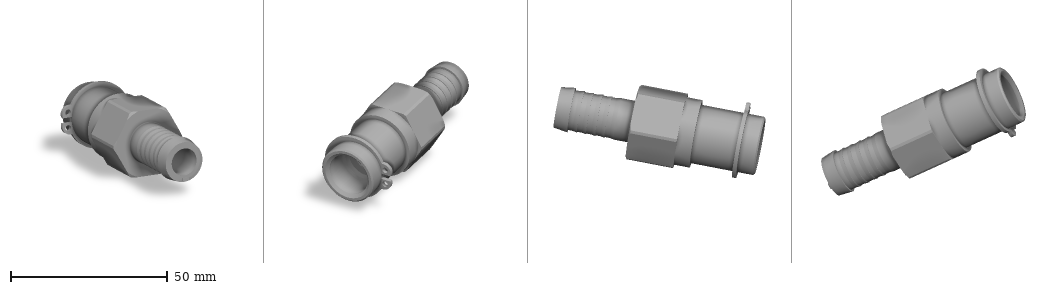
import cadquery as cq
import math

total_length = 66.5
tip_end = 66.1
ring_start = 5.65
ring_thickness = 1.25
collar_start = 20.9
hex_start = 25.95
hex_end = 41.55
first_barb = 46.5
barb_pitch = 3.0
barb_count = 5
barb_taper_length = 1.4
tip_start = 61.5

socket_diameter = 19.0
mouth_diameter = 18.0
collar_diameter = 22.0
hex_across_flats = collar_diameter
hex_corner_diameter = 24.9
hex_chamfer_length = 0.45
hex_chamfer_depth = 0.85
neck_diameter = 13.5
neck_fillet = 0.3
barb_root_diameter = 13.0
tip_large_diameter = 14.5
tip_end_diameter = 13.25

pad_width = 2
pad_height = 1.0
pad_center_y = 0.45
pad_center_z = -5.8

entry_diameter = 16.15
bore_diameter = 14.1
inner_bore_diameter = 12.6
through_diameter = 9.0
bore_end = 9.1
inner_bore_end = 12
cone_half_angle = math.radians(70)

ring_diameter = collar_diameter
groove_diameter = mouth_diameter
ring_turn = 0.9
ring_offset = 0.5
lug_radius = 2.8
lug_tip = 12.85
lug_center_y = lug_radius - lug_tip
lug_center_z = 2
lug_hole_diameter = 2
lug_hole_y = -10.8
lug_hole_z = 2.63
ring_gap = 1.9


def cylinder(start, end, diameter):
    """A cylinder on the X axis."""
    return cq.Workplane("YZ", origin=(start, 0, 0)).circle(diameter / 2).extrude(end - start)


def revolve_profile(points):
    """Turn a closed (x, radius) outline about the X axis."""
    return cq.Workplane("XY").polyline(points).close().revolve(360, (0, 0, 0), (1, 0, 0))


def make_hex():
    """Hexagon with its corners turned down and its hose end chamfered."""
    across_corners = hex_across_flats / math.cos(math.pi / 6)
    hexagon = (
        cq.Workplane("YZ", origin=(hex_start, 0, 0))
        .polygon(6, across_corners)
        .extrude(hex_end - hex_start)
    )
    corner_radius = hex_corner_diameter / 2
    envelope = revolve_profile([
        (hex_start, 0),
        (hex_start, corner_radius),
        (hex_end - hex_chamfer_length, corner_radius),
        (hex_end, corner_radius - hex_chamfer_depth),
        (hex_end, 0),
    ])
    return hexagon.intersect(envelope)


def make_hose_tail():
    """Neck with a filleted root, tapered barbs and an enlarged conical tip."""
    neck_radius = neck_diameter / 2
    root_radius = barb_root_diameter / 2
    fillet_middle = neck_fillet * (1 - math.sqrt(0.5))
    profile = (
        cq.Workplane("XY")
        .moveTo(hex_end, 0)
        .lineTo(hex_end, neck_radius + neck_fillet)
        .threePointArc(
            (hex_end + fillet_middle, neck_radius + fillet_middle),
            (hex_end + neck_fillet, neck_radius),
        )
    )
    for i in range(barb_count):
        barb_start = first_barb + i * barb_pitch
        if i > 0:
            profile = profile.lineTo(barb_start, root_radius)
        profile = profile.lineTo(barb_start, neck_radius)
        profile = profile.lineTo(barb_start + barb_taper_length, root_radius)
    profile = (
        profile.lineTo(tip_start, root_radius)
        .lineTo(tip_start, tip_large_diameter / 2)
        .lineTo(tip_end, tip_end_diameter / 2)
        .lineTo(tip_end, 0)
        .close()
    )
    return profile.revolve(360, (0, 0, 0), (1, 0, 0))


def make_retaining_ring():
    """Eccentric open ring, turned slightly, with two pierced lugs on the -Y side."""
    plane = cq.Workplane("YZ", origin=(ring_start, 0, 0))
    ring = plane.center(ring_offset, 0).circle(ring_diameter / 2).extrude(ring_thickness)
    lugs = (
        plane.pushPoints([(lug_center_y, lug_center_z), (lug_center_y, -lug_center_z)])
        .circle(lug_radius)
        .extrude(ring_thickness)
    )
    lug_root_width = -lug_center_y
    lug_root = (
        plane.center(lug_center_y / 2, 0)
        .rect(lug_root_width, 2 * (lug_center_z + lug_radius))
        .extrude(ring_thickness)
    )
    holes = (
        plane.pushPoints([(lug_hole_y, lug_hole_z), (lug_hole_y, -lug_hole_z)])
        .circle(lug_hole_diameter / 2)
        .extrude(ring_thickness)
    )
    gap = plane.center(-lug_tip / 2, 0).rect(lug_tip, ring_gap).extrude(ring_thickness)
    ring = ring.union(lugs).union(lug_root).cut(holes).cut(gap)
    return ring.rotate((0, 0, 0), (1, 0, 0), ring_turn)


def make_end_pad():
    """Pad that stands out from the hose end face, below the bore."""
    return (
        cq.Workplane("YZ", origin=(tip_end, 0, 0))
        .center(pad_center_y, pad_center_z)
        .rect(pad_width, pad_height)
        .extrude(total_length - tip_end)
    )


def make_bore():
    """Tapered entry, two stepped bores and a blunt cone into the through hole."""
    entry_radius = entry_diameter / 2
    bore_radius = bore_diameter / 2
    inner_radius = inner_bore_diameter / 2
    through_radius = through_diameter / 2
    entry_depth = entry_radius - bore_radius
    step_end = bore_end + bore_radius - inner_radius
    cone_end = inner_bore_end + (inner_radius - through_radius) / math.tan(cone_half_angle)
    return revolve_profile([
        (0, 0),
        (0, entry_radius),
        (entry_depth, bore_radius),
        (bore_end, bore_radius),
        (step_end, inner_radius),
        (inner_bore_end, inner_radius),
        (cone_end, through_radius),
        (total_length, through_radius),
        (total_length, 0),
    ])


mouth_chamfer = (socket_diameter - mouth_diameter) / 2
socket = cylinder(0, collar_start, socket_diameter).faces("<X").chamfer(mouth_chamfer)
collar = cylinder(collar_start, hex_start, collar_diameter)
ring_seat = cylinder(ring_start, ring_start + ring_thickness, socket_diameter)
groove_core = cylinder(ring_start, ring_start + ring_thickness, groove_diameter)

result = (
    socket.cut(ring_seat)
    .union(groove_core)
    .union(make_retaining_ring())
    .union(collar)
    .union(make_hex())
    .union(make_hose_tail())
    .union(make_end_pad())
    .cut(make_bore())
)